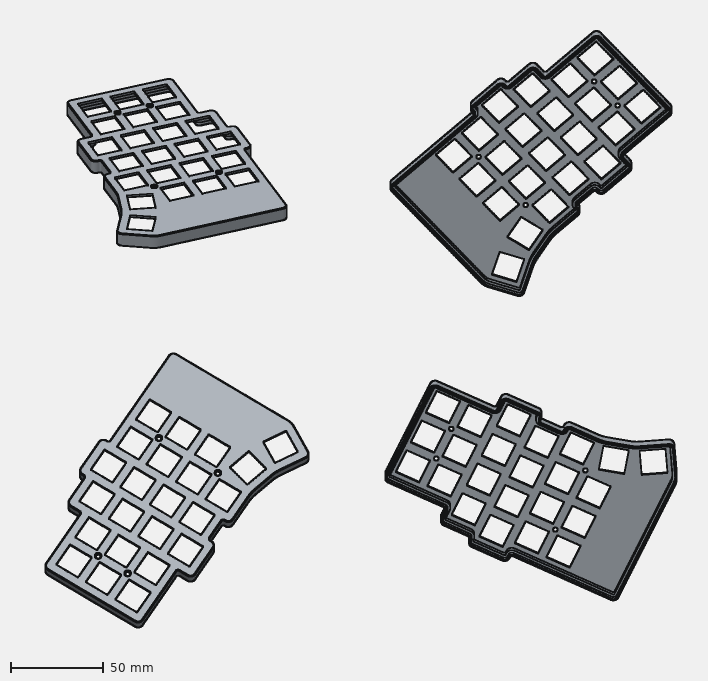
import cadquery as cq
import math


WIDTH = 144.6
HEIGHT = 8.2

COLUMN_COUNT = 6
GRID_SPAN = 95.2
PITCH = GRID_SPAN / (COLUMN_COUNT - 1)
CUTOUT = 14.0
KEY_MARGIN = 12.2

OUTER_KEYS = 3
MAIN_KEYS = 4

OUTER_BASE = 0.0
MAIN_BASE = -PITCH / 2
RAISED_BASE = MAIN_BASE + PITCH / 4
COLUMNS = [
    (OUTER_BASE, OUTER_KEYS),
    (OUTER_BASE, OUTER_KEYS),
    (MAIN_BASE, MAIN_KEYS),
    (RAISED_BASE, MAIN_KEYS),
    (MAIN_BASE, MAIN_KEYS),
    (MAIN_BASE + PITCH, MAIN_KEYS - 1),
]

INNER_THUMB = (97.0, -12.2)
INNER_THUMB_ANGLE = -15.0
OUTER_THUMB = (117.0, -20.4)
OUTER_THUMB_ANGLE = -30.0

CONVEX_RADIUS = 3.0
CONCAVE_RADIUS = 1.0
BEND_RADIUS = 20.0
SIDE_BEND_RADIUS = 10.0

EDGE_CHAMFER = 0.5
PLATE_THICKNESS = 1.5
LEDGE_DEPTH = 5.0
UPPER_WALL = 2.5
LOWER_WALL = 1.0

SCREW_DIAMETER = 2.5
SCREW_HEAD_DIAMETER = 3.8
COUNTERSINK_ANGLE = 90.0


def column_x(column):
    return column * PITCH


def beside_thumb(centre, angle, side):
    """Line along a thumb key's outer wall, as a point and a unit direction.

    `side` is the wall's outward direction, in degrees from the key's own X axis.
    """
    normal = math.radians(angle + side)
    point = (
        centre[0] + KEY_MARGIN * math.cos(normal),
        centre[1] + KEY_MARGIN * math.sin(normal),
    )
    return point, (-math.sin(normal), math.cos(normal))


def crossing(line_a, line_b):
    """Point where two lines meet."""
    (ax, ay), (au, av) = line_a
    (bx, by), (bu, bv) = line_b
    along = ((bx - ax) * bv - (by - ay) * bu) / (au * bv - av * bu)
    return (ax + along * au, ay + along * av)


def case_corners():
    """Sharp corners of the case, clockwise from the bottom left, with their radii."""
    left = -KEY_MARGIN
    right = left + WIDTH
    outer_top = OUTER_BASE + (OUTER_KEYS - 1) * PITCH + KEY_MARGIN
    outer_bottom = OUTER_BASE - KEY_MARGIN
    main_left = column_x(2) - KEY_MARGIN
    main_top = MAIN_BASE + (MAIN_KEYS - 1) * PITCH + KEY_MARGIN
    main_bottom = MAIN_BASE - KEY_MARGIN
    raised_left = column_x(3) - KEY_MARGIN
    raised_right = column_x(3) + KEY_MARGIN
    raised_top = RAISED_BASE + (MAIN_KEYS - 1) * PITCH + KEY_MARGIN
    raised_bottom = RAISED_BASE - KEY_MARGIN
    notch_left = column_x(2) + KEY_MARGIN
    notch_right = column_x(4) - KEY_MARGIN

    right_wall = ((right, 0), (0, 1))
    main_wall = ((0, main_bottom), (1, 0))
    inner_thumb_wall = beside_thumb(INNER_THUMB, INNER_THUMB_ANGLE, -90)
    outer_thumb_wall = beside_thumb(OUTER_THUMB, OUTER_THUMB_ANGLE, -90)
    outer_thumb_side = beside_thumb(OUTER_THUMB, OUTER_THUMB_ANGLE, 0)

    return [
        ((left, outer_bottom), CONVEX_RADIUS),
        ((left, outer_top), CONVEX_RADIUS),
        ((main_left, outer_top), CONCAVE_RADIUS),
        ((main_left, main_top), CONVEX_RADIUS),
        ((raised_left, main_top), CONCAVE_RADIUS),
        ((raised_left, raised_top), CONVEX_RADIUS),
        ((raised_right, raised_top), CONVEX_RADIUS),
        ((raised_right, main_top), CONCAVE_RADIUS),
        ((right, main_top), CONVEX_RADIUS),
        (crossing(right_wall, outer_thumb_side), SIDE_BEND_RADIUS),
        (crossing(outer_thumb_side, outer_thumb_wall), CONVEX_RADIUS),
        (crossing(outer_thumb_wall, inner_thumb_wall), BEND_RADIUS),
        (crossing(inner_thumb_wall, main_wall), BEND_RADIUS),
        ((notch_right, main_bottom), CONVEX_RADIUS),
        ((notch_right, raised_bottom), CONCAVE_RADIUS),
        ((notch_left, raised_bottom), CONCAVE_RADIUS),
        ((notch_left, main_bottom), CONVEX_RADIUS),
        ((main_left, main_bottom), CONVEX_RADIUS),
        ((main_left, outer_bottom), CONCAVE_RADIUS),
    ]


def corner_arc(before, corner, after, radius):
    """Start, middle and end of the arc that rounds a corner."""
    corner = cq.Vector(*corner)
    to_before = (cq.Vector(*before) - corner).normalized()
    to_after = (cq.Vector(*after) - corner).normalized()
    half_angle = to_before.getAngle(to_after) / 2
    tangent_length = radius / math.tan(half_angle)
    middle_distance = radius / math.sin(half_angle) - radius
    return (
        corner + to_before * tangent_length,
        corner + (to_before + to_after).normalized() * middle_distance,
        corner + to_after * tangent_length,
    )


def case_outline():
    """Rounded outline of the case on the bottom plane."""
    corners = case_corners()
    count = len(corners)
    arcs = [
        corner_arc(corners[i - 1][0], point, corners[(i + 1) % count][0], radius)
        for i, (point, radius) in enumerate(corners)
    ]
    outline = cq.Workplane("XY").moveTo(*arcs[-1][2].toTuple()[:2])
    for start, middle, end in arcs:
        outline = outline.lineTo(start.x, start.y)
        outline = outline.threePointArc((middle.x, middle.y), (end.x, end.y))
    return outline.close()


def shell():
    """Chamfered body, hollowed from below in two steps that leave a ledge."""
    body = case_outline().extrude(HEIGHT).faces("<Z or >Z").chamfer(EDGE_CHAMFER)
    upper_cavity = case_outline().offset2D(-UPPER_WALL).extrude(HEIGHT - PLATE_THICKNESS)
    lower_cavity = case_outline().offset2D(-LOWER_WALL).extrude(HEIGHT - LEDGE_DEPTH)
    return body.cut(upper_cavity).cut(lower_cavity)


def switch_cutouts():
    """Square cutters for every key."""
    grid_keys = [
        (column_x(column), base + row * PITCH)
        for column, (base, count) in enumerate(COLUMNS)
        for row in range(count)
    ]
    cutters = cq.Workplane("XY").pushPoints(grid_keys).rect(CUTOUT, CUTOUT).extrude(HEIGHT)
    for centre, angle in (
        (INNER_THUMB, INNER_THUMB_ANGLE),
        (OUTER_THUMB, OUTER_THUMB_ANGLE),
    ):
        turned = cq.Workplane("XY").transformed(offset=(*centre, 0), rotate=(0, 0, angle))
        cutters = cutters.add(turned.rect(CUTOUT, CUTOUT).extrude(HEIGHT))
    return cutters.combine()


def screw_points():
    """Screw centres, midway between neighbouring columns and rows."""
    left_x = column_x(0) + PITCH / 2
    right_x = column_x(4) + PITCH / 2
    return [
        (left_x, OUTER_BASE + PITCH / 2),
        (left_x, OUTER_BASE + 3 * PITCH / 2),
        (right_x, MAIN_BASE + PITCH / 2),
        (right_x, MAIN_BASE + 5 * PITCH / 2),
    ]


case = shell().cut(switch_cutouts())
result = (
    case.faces(">Z")
    .workplane(origin=(0, 0, HEIGHT))
    .pushPoints(screw_points())
    .cskHole(SCREW_DIAMETER, SCREW_HEAD_DIAMETER, COUNTERSINK_ANGLE)
)